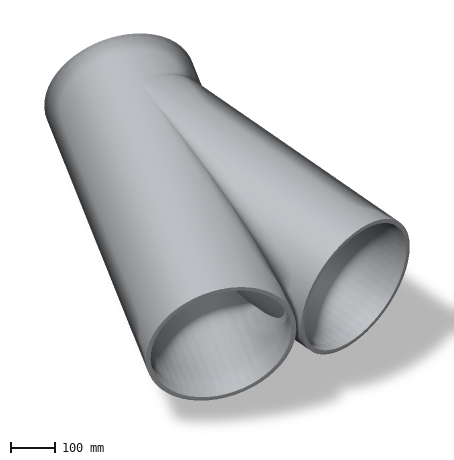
import cadquery as cq
import math

outer_diameter = 355.0
bore_diameter = 334.0
run_length = 838.0
branch_angle = 30.0
branch_start = 153.0
branch_length = 686.5

branch_direction = cq.Vector(
    math.cos(math.radians(branch_angle)),
    math.sin(math.radians(branch_angle)),
    0,
)


def run_and_branch(diameter):
    """Solid cylinders along both axes, joined where they cross."""
    radius = diameter / 2
    run = cq.Solid.makeCylinder(radius, run_length, cq.Vector(0, 0, 0), cq.Vector(1, 0, 0))
    branch = cq.Solid.makeCylinder(
        radius, branch_length, cq.Vector(branch_start, 0, 0), branch_direction
    )
    return cq.Workplane(obj=run).union(cq.Workplane(obj=branch))


result = run_and_branch(outer_diameter).cut(run_and_branch(bore_diameter))